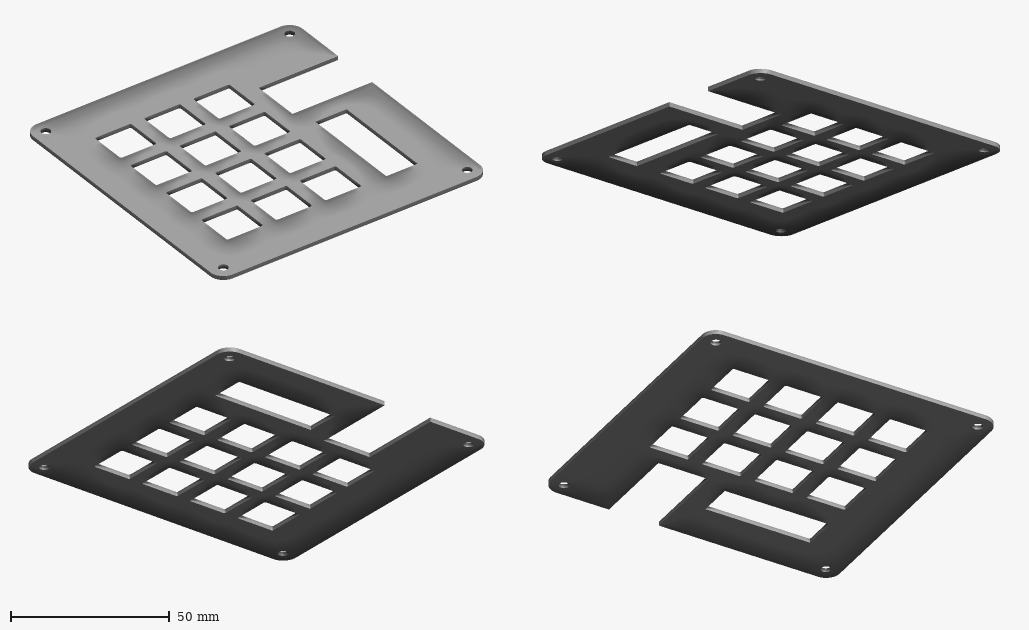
import cadquery as cq

plate_length = 105.6
plate_width = 104.8
plate_thickness = 1.5
corner_radius = 5.0

screw_hole_diameter = 3.4

key_columns = 4
key_rows = 3
key_pitch = 19.1
key_opening = 14.0
key_corner_radius = 0.5
key_grid_x = 0.1
key_grid_y = -11.1

window_length = 38.2
window_height = 12.1
window_y = 30.7

notch_width = 18.3
notch_depth = 30.9

first_key_x = key_grid_x - (key_columns - 1) * key_pitch / 2
last_key_x = key_grid_x + (key_columns - 1) * key_pitch / 2


def plate_block(length, width, center_x, center_y):
    """Rectangular block as thick as the plate."""
    return (
        cq.Workplane("XY")
        .center(center_x, center_y)
        .rect(length, width)
        .extrude(plate_thickness)
    )


def make_plate():
    """Flat plate with rounded vertical corners."""
    plate = plate_block(plate_length, plate_width, 0, 0)
    return plate.edges("|Z").fillet(corner_radius)


def make_screw_holes():
    """Cylinders at the four corner centres."""
    return (
        cq.Workplane("XY")
        .rect(plate_length - 2 * corner_radius, plate_width - 2 * corner_radius, forConstruction=True)
        .vertices()
        .circle(screw_hole_diameter / 2)
        .extrude(plate_thickness)
    )


def make_key_openings():
    """Grid of square blocks with slightly rounded corners."""
    return (
        cq.Workplane("XY")
        .center(key_grid_x, key_grid_y)
        .rarray(key_pitch, key_pitch, key_columns, key_rows)
        .rect(key_opening, key_opening)
        .extrude(plate_thickness)
        .edges("|Z")
        .fillet(key_corner_radius)
    )


def make_window():
    """Display window lined up with the last key column."""
    window_x = last_key_x + key_opening / 2 - window_length / 2
    return plate_block(window_length, window_height, window_x, window_y)


def make_notch():
    """Rectangular notch in the back edge."""
    notch_x = first_key_x + notch_width / 2
    notch_y = plate_width / 2 - notch_depth / 2
    return plate_block(notch_width, notch_depth, notch_x, notch_y)


result = (
    make_plate()
    .cut(make_screw_holes())
    .cut(make_key_openings())
    .cut(make_window())
    .cut(make_notch())
)